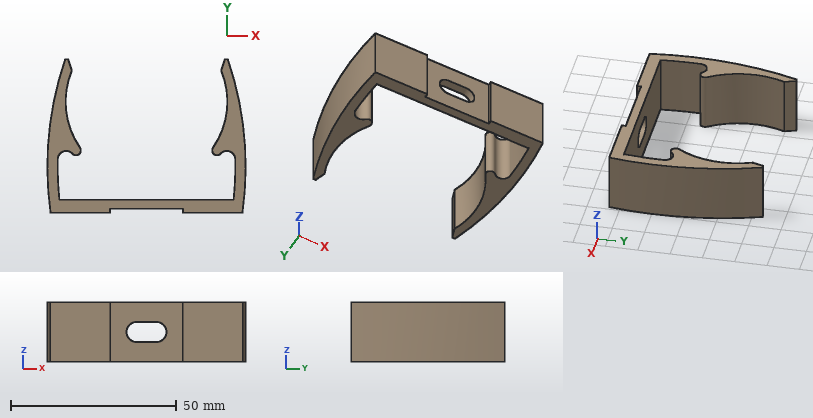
import cadquery as cq
import math

width = 60.0
height = 46.5
depth = 18.0

outer_radius = 100.0
bow_height = 14.0
wall = 3.2
inner_radius = outer_radius - wall

floor = 4.0
recess_width = 22.0
recess_depth = 1.25
slot_length = 12.0
slot_height = 6.0

seat_radius = 24.4
seat_height = 33.6
lip_height = 43.0
tip_flat = 0.9
nose_radius = 1.5
nose_height = 18.9
pocket_radius = 2.5

bow_center = (width / 2 - outer_radius, bow_height)
seat_center = (0.0, seat_height)


def circle_x(center, radius, y):
    """X of the right-hand side of a circle at level y."""
    return center[0] + math.sqrt(radius**2 - (y - center[1])**2)


def on_circle(center, radius, y):
    return (circle_x(center, radius, y), y)


def toward(start, end, distance):
    """Point at the given distance from start, on the line through end."""
    length = math.dist(start, end)
    return (
        start[0] + (end[0] - start[0]) * distance / length,
        start[1] + (end[1] - start[1]) * distance / length,
    )


def crossing(first, first_radius, second, second_radius):
    """Crossing of two circles, on the right when looking from first to second."""
    gap = math.dist(first, second)
    along = (gap**2 + first_radius**2 - second_radius**2) / (2 * gap)
    aside = math.sqrt(first_radius**2 - along**2)
    foot = toward(first, second, along)
    unit_x = (second[0] - first[0]) / gap
    unit_y = (second[1] - first[1]) / gap
    return (foot[0] + aside * unit_y, foot[1] - aside * unit_x)


nose_center = on_circle(seat_center, seat_radius + nose_radius, nose_height)
pocket_center = crossing(
    bow_center,
    inner_radius - pocket_radius,
    nose_center,
    nose_radius + pocket_radius,
)


def half_profile():
    """Right half of the clip section, bounded by the YZ plane."""
    base_corner = on_circle(bow_center, outer_radius, 0)
    widest = (width / 2, bow_height)
    tip_outer = on_circle(bow_center, outer_radius, height)
    tip_inner = (tip_outer[0] - tip_flat, height)
    seat_top = on_circle(seat_center, seat_radius, lip_height)
    seat_side = (seat_radius, seat_height)
    seat_bottom = toward(seat_center, nose_center, seat_radius)
    nose_end = toward(nose_center, pocket_center, nose_radius)
    nose_middle = (nose_center[0], nose_height - nose_radius)
    pocket_top = (pocket_center[0], pocket_center[1] + pocket_radius)
    wall_top = toward(bow_center, pocket_center, inner_radius)
    wall_bottom = on_circle(bow_center, inner_radius, floor)
    wall_middle = on_circle(bow_center, inner_radius, (wall_top[1] + floor) / 2)
    return (
        cq.Workplane("XY")
        .moveTo(0, 0)
        .lineTo(*base_corner)
        .threePointArc(widest, tip_outer)
        .lineTo(*tip_inner)
        .lineTo(*seat_top)
        .threePointArc(seat_side, seat_bottom)
        .threePointArc(nose_middle, nose_end)
        .threePointArc(pocket_top, wall_top)
        .threePointArc(wall_middle, wall_bottom)
        .lineTo(0, floor)
        .close()
    )


def clip_body():
    half = half_profile().extrude(depth)
    return half.union(half.mirror("YZ")).clean()


def base_recess():
    """Shallow channel across the underside of the base."""
    return cq.Workplane("XY").rect(recess_width, 2 * recess_depth).extrude(depth)


def screw_slot():
    """Obround slot through the middle of the base."""
    return (
        cq.Workplane("XZ", origin=(0, 0, depth / 2))
        .slot2D(slot_length, slot_height)
        .extrude(-floor)
    )


result = clip_body().cut(base_recess()).cut(screw_slot())